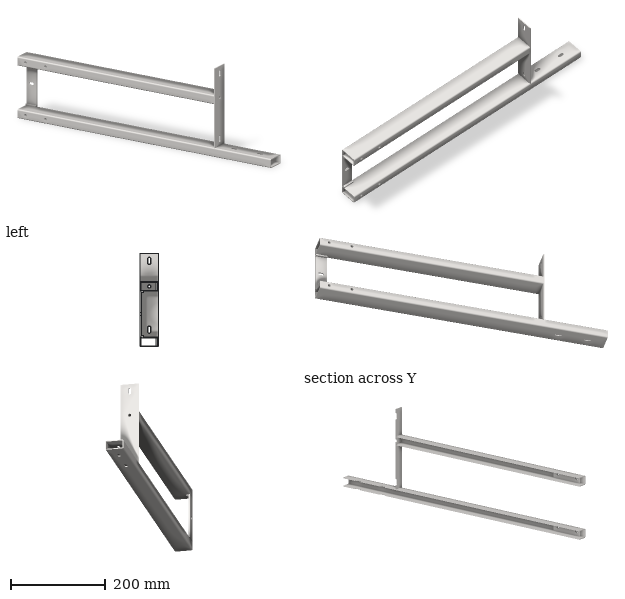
import cadquery as cq

frame_length = 630.0
frame_height = 197.0
tube_width = 40.0
tube_height = 20.0
tube_wall = 2.0
tube_corner_radius = 3.0
upper_tube_bottom = 117.0
inner_height = tube_height - 2 * tube_wall
inner_width = tube_width - 2 * tube_wall
front_face = -tube_width / 2
back_face = tube_width / 2

plate_start = 489.0
plate_thickness = 2.0
plate_slot_inset = 16.0

slot_width = 6.0
slot_length = 14.5
clip_slot_length = 12.0
rear_slot_inset = 39.0
rear_slot_pitch = 64.0

clip_length = 25.0
clip_thickness = 3.0
clip_lip_depth = 7.5
clip_slot_x = 12.0

strip_start = 10.0
strip_thickness = 4.05
fixing_hole_diameter = 6.0
fixing_hole_spacing = 50.0
first_hole_x = 20.0
strip_length = 2 * (first_hole_x - strip_start) + fixing_hole_spacing


def box(x, y, z, length, depth, height):
    """Box with its lowest corner at (x, y, z)."""
    return cq.Workplane("XY").box(length, depth, height, centered=False).translate((x, y, z))


def tube(bottom, length):
    """Hollow tube with a strip inside its front wall and two holes through both."""
    outer = box(0, front_face, bottom, length, tube_width, tube_height)
    outer = outer.edges("|X").fillet(tube_corner_radius)
    inner_front = front_face + tube_wall
    inner_bottom = bottom + tube_wall
    hollow = box(0, inner_front, inner_bottom, length, inner_width, inner_height)
    strip = box(strip_start, inner_front, inner_bottom, strip_length, strip_thickness, inner_height)
    body = outer.cut(hollow).union(strip)
    holes = (
        cq.Workplane("XZ", origin=(0, front_face, bottom + tube_height / 2))
        .pushPoints([(first_hole_x, 0), (first_hole_x + fixing_hole_spacing, 0)])
        .circle(fixing_hole_diameter / 2)
        .extrude(-(tube_wall + strip_thickness))
    )
    return body.cut(holes)


def end_plate():
    """Upright plate with a slot near each end and a hole into the upper tube."""
    height = frame_height - tube_height
    plate = box(plate_start, front_face, tube_height, plate_thickness, tube_width, height)
    face = cq.Workplane("YZ", origin=(plate_start, 0, 0))
    slots = (
        face.pushPoints([(0, tube_height + plate_slot_inset), (0, frame_height - plate_slot_inset)])
        .slot2D(slot_length, slot_width, 90)
        .extrude(plate_thickness)
    )
    hole = (
        face.center(0, upper_tube_bottom + tube_height / 2)
        .circle(fixing_hole_diameter / 2)
        .extrude(plate_thickness)
    )
    return plate.cut(slots).cut(hole)


def clip():
    """Shallow channel between the tubes: a slotted web with a lip on each tube."""
    height = upper_tube_bottom - tube_height
    web_front = back_face - clip_thickness
    channel = box(0, web_front, tube_height, clip_length, clip_thickness, height)
    lip_front = back_face - clip_lip_depth
    for lip_bottom in (tube_height, upper_tube_bottom - clip_thickness):
        channel = channel.union(box(0, lip_front, lip_bottom, clip_length, clip_lip_depth, clip_thickness))
    slot = (
        cq.Workplane("XZ", origin=(clip_slot_x, web_front, tube_height + height / 2))
        .slot2D(clip_slot_length, slot_width)
        .extrude(-clip_thickness)
    )
    return channel.cut(slot)


def rear_slots():
    """Cutters for the two slots through the free end of the lower tube."""
    last_slot_x = frame_length - rear_slot_inset
    return (
        cq.Workplane("XY")
        .pushPoints([(last_slot_x - rear_slot_pitch, 0), (last_slot_x, 0)])
        .slot2D(slot_length, slot_width)
        .extrude(tube_height)
    )


lower_tube = tube(0, frame_length).cut(rear_slots())
upper_tube = tube(upper_tube_bottom, plate_start)
result = lower_tube.union(upper_tube).union(end_plate()).union(clip())